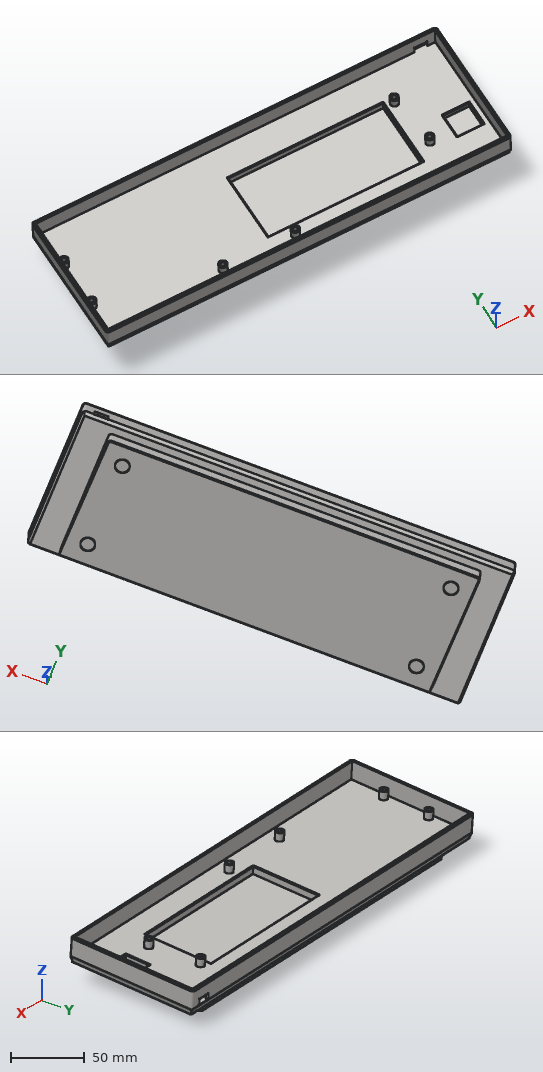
import cadquery as cq
import math

tray_length = 314.0
tray_width = 104.4
tray_height = 19.8
wall = 2.2
floor_thickness = 5.3
corner_radius = 2.2
edge_chamfer = 0.5
tilt = 4.0

cove_height = 5.0
cove_inset = 1.5

foot_length = 270.0
foot_run = 95.0
foot_front_y = -50.5
foot_angle = 6.1
foot_block_height = 15.7
foot_corner_radius = 2.2

pad_diameter = 10.0
pad_depth = 0.5
pad_x = 119.3
pad_inset = 15.0

post_diameter = 6.3
post_hole_diameter = 3.5
post_height = 6.5
post_places = [
    (-150.5, 19.0),
    (-150.5, -19.0),
    (-59.5, -38.5),
    (-3.5, -38.5),
    (106.7, 21.0),
    (111.8, -19.0),
]

large_pocket_corner = (-20.7, -31.0)
large_pocket_size = (121.2, 56.5)
large_pocket_depth = 6.3
small_pocket_corner = (129.5, -25.0)
small_pocket_size = (21.5, 21.0)
small_pocket_depth = 4.5

port_x = 143.8
port_width = 10.0
port_height = 4.7


def coved_section(plane, width, run):
    """Prism whose section has straight sides and a cove at each lower corner."""
    half = width / 2
    half_bend = math.atan(cove_inset / cove_height)
    radius = cove_height / math.sin(2 * half_bend)
    mid_x = half - cove_inset + radius * (1 - math.cos(half_bend))
    mid_z = radius * math.sin(half_bend)
    return (
        cq.Workplane(plane)
        .moveTo(half - cove_inset, 0)
        .threePointArc((mid_x, mid_z), (half, cove_height))
        .lineTo(half, tray_height)
        .lineTo(-half, tray_height)
        .lineTo(-half, cove_height)
        .threePointArc((-mid_x, mid_z), (-half + cove_inset, 0))
        .close()
        .extrude(run / 2, both=True)
    )


def make_tray_block():
    block = (
        cq.Workplane("XY")
        .rect(tray_length, tray_width)
        .extrude(tray_height)
        .edges("|Z")
        .fillet(corner_radius)
        .faces(">Z")
        .chamfer(edge_chamfer)
    )
    block = block.intersect(coved_section("XZ", tray_length, tray_width))
    return block.intersect(coved_section("YZ", tray_width, tray_length))


def make_cavity():
    return (
        cq.Workplane("XY", origin=(0, 0, floor_thickness))
        .rect(tray_length - 2 * wall, tray_width - 2 * wall)
        .extrude(tray_height)
    )


def place_on_foot(body):
    """Move a body from level, front edge on Y = 0, to the angle and place of the foot."""
    return body.rotate((0, 0, 0), (1, 0, 0), -foot_angle).translate((0, foot_front_y, 0))


def make_foot():
    block = (
        cq.Workplane("XY", origin=(0, foot_run / 2, 0))
        .rect(foot_length, foot_run)
        .extrude(foot_block_height)
        .edges("|Z and >Y")
        .fillet(foot_corner_radius)
        .faces("<Z")
        .edges("not <Y")
        .chamfer(edge_chamfer)
    )
    return place_on_foot(block)


def make_pad_recesses():
    rows = (pad_inset, foot_run - pad_inset)
    recesses = (
        cq.Workplane("XY")
        .pushPoints([(x, y) for x in (-pad_x, pad_x) for y in rows])
        .circle(pad_diameter / 2)
        .extrude(pad_depth)
    )
    return place_on_foot(recesses)


def make_posts():
    return (
        cq.Workplane("XY", origin=(0, 0, floor_thickness))
        .pushPoints(post_places)
        .circle(post_diameter / 2)
        .circle(post_hole_diameter / 2)
        .extrude(post_height)
    )


def make_pocket(corner, size, depth):
    """Rectangular pocket with a chamfered rim at floor level."""
    center_x = corner[0] + size[0] / 2
    center_y = corner[1] + size[1] / 2
    inner_length = size[0] - 2 * edge_chamfer
    inner_width = size[1] - 2 * edge_chamfer
    straight = (
        cq.Workplane("XY", origin=(center_x, center_y, floor_thickness - depth))
        .rect(inner_length, inner_width)
        .extrude(depth)
    )
    rim = (
        cq.Workplane("XY", origin=(center_x, center_y, floor_thickness - edge_chamfer))
        .rect(inner_length, inner_width)
        .workplane(offset=edge_chamfer)
        .rect(*size)
        .loft(ruled=True)
    )
    return straight.union(rim)


def make_port():
    return (
        cq.Workplane("XY", origin=(port_x, tray_width / 2, floor_thickness))
        .rect(port_width, 4 * wall)
        .extrude(port_height)
    )


level_part = (
    make_tray_block()
    .union(make_foot())
    .cut(make_cavity())
    .union(make_posts())
    .cut(make_pocket(large_pocket_corner, large_pocket_size, large_pocket_depth))
    .cut(make_pocket(small_pocket_corner, small_pocket_size, small_pocket_depth))
    .cut(make_pad_recesses())
    .cut(make_port())
)

result = level_part.rotate((0, 0, 0), (1, 0, 0), -tilt)